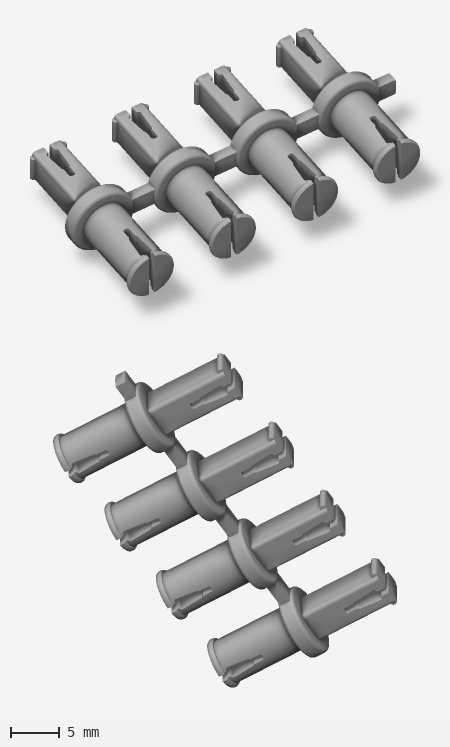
import cadquery as cq

ROW_LENGTH = 39.53
PIN_COUNT = 4
PIN_PITCH = 10.0
PIN_LENGTH = 20.0

COLLAR_DIAMETER = 7.5
COLLAR_WIDTH = 1.78
COLLAR_ROUNDING = 0.35

SHAFT_WIDTH = 3.6
SHAFT_HEIGHT = 3.7
SHAFT_ROUNDING = 0.4
CATCH_LENGTH = 0.67
CATCH_SHOULDER = 0.08
CATCH_HEIGHT = 0.4

BARREL_DIAMETER = 4.9
LIP_DIAMETER = 5.55
LIP_SHOULDER = 0.2
LIP_WIDTH = 0.67

SLOT_DEPTH = 5.05
SLOT_WIDTH = 0.7
SLOT_BELLY_WIDTH = 1.42
SLOT_NECK_WIDTH = 1.0
MOUTH_END = 0.85
BELLY_START = 1.05
BELLY_END = 1.3
TAPER_END = 3.65
NECK_END = 3.8
SLOT_END_ROUNDING = 0.25

RUNNER_WIDTH = 1.2
RUNNER_HEIGHT = 2.05
RUNNER_END_BOW = 0.08

HALF_LENGTH = PIN_LENGTH / 2
FIRST_PIN_Y = -ROW_LENGTH / 2 + COLLAR_DIAMETER / 2


def make_collar():
    """Round flange between the two halves, with rounded rims."""
    collar = cq.Workplane("YZ").circle(COLLAR_DIAMETER / 2).extrude(COLLAR_WIDTH / 2, both=True)
    return collar.edges("%CIRCLE").fillet(COLLAR_ROUNDING)


def make_shaft():
    """Nearly square half on the -X side, with rounded long edges and a catch on each flank."""
    shaft = cq.Workplane("YZ").rect(SHAFT_WIDTH, SHAFT_HEIGHT).extrude(-HALF_LENGTH)
    shaft = shaft.edges("|X").fillet(SHAFT_ROUNDING)

    flat_height = SHAFT_HEIGHT - 2 * SHAFT_ROUNDING
    shoulder = SHAFT_WIDTH / 2 + CATCH_SHOULDER
    crest = SHAFT_WIDTH / 2 + CATCH_HEIGHT
    catch_middle = -HALF_LENGTH + CATCH_LENGTH / 2
    catch_end = -HALF_LENGTH + CATCH_LENGTH
    catches = (
        cq.Workplane("XY")
        .moveTo(-HALF_LENGTH, -shoulder)
        .threePointArc((catch_middle, -crest), (catch_end, -shoulder))
        .lineTo(catch_end, shoulder)
        .threePointArc((catch_middle, crest), (-HALF_LENGTH, shoulder))
        .close()
        .extrude(flat_height / 2, both=True)
    )
    return shaft.union(catches)


def make_barrel():
    """Round half on the +X side, ending in a rounded lip."""
    barrel_radius = BARREL_DIAMETER / 2
    shoulder = barrel_radius + LIP_SHOULDER
    lip_start = HALF_LENGTH - LIP_WIDTH
    return (
        cq.Workplane("XY")
        .lineTo(0, barrel_radius)
        .lineTo(lip_start, barrel_radius)
        .lineTo(lip_start, shoulder)
        .threePointArc((HALF_LENGTH - LIP_WIDTH / 2, LIP_DIAMETER / 2), (HALF_LENGTH, shoulder))
        .lineTo(HALF_LENGTH, 0)
        .close()
        .revolve(360, (0, 0), (1, 0))
    )


def make_slot():
    """Cutter for the bottle-shaped slot that splits the +X tip through its full height."""
    half_width = SLOT_WIDTH / 2
    half_belly = SLOT_BELLY_WIDTH / 2
    half_neck = SLOT_NECK_WIDTH / 2
    outline = [
        (HALF_LENGTH, half_width),
        (HALF_LENGTH - MOUTH_END, half_width),
        (HALF_LENGTH - BELLY_START, half_belly),
        (HALF_LENGTH - BELLY_END, half_belly),
        (HALF_LENGTH - TAPER_END, half_neck),
        (HALF_LENGTH - NECK_END, half_width),
        (HALF_LENGTH - SLOT_DEPTH, half_width),
    ]
    mirrored = [(x, -y) for x, y in reversed(outline)]
    slot = cq.Workplane("XY").polyline(outline + mirrored).close().extrude(COLLAR_DIAMETER / 2, both=True)
    return slot.edges("|Z and <X").fillet(SLOT_END_ROUNDING)


def make_pin():
    """One complete connector centred on the origin."""
    slot = make_slot()
    pin = make_collar().union(make_shaft()).union(make_barrel())
    return pin.cut(slot).cut(slot.mirror("YZ"))


def make_runner():
    """Bar joining the collars and running on to a slightly bowed +Y end."""
    end_y = ROW_LENGTH / 2
    half_height = RUNNER_HEIGHT / 2
    return (
        cq.Workplane("YZ")
        .moveTo(FIRST_PIN_Y, -half_height)
        .lineTo(end_y - RUNNER_END_BOW, -half_height)
        .threePointArc((end_y, 0), (end_y - RUNNER_END_BOW, half_height))
        .lineTo(FIRST_PIN_Y, half_height)
        .close()
        .extrude(RUNNER_WIDTH / 2, both=True)
    )


result = make_runner()
pin = make_pin()
for index in range(PIN_COUNT):
    result = result.union(pin.translate((0, FIRST_PIN_Y + index * PIN_PITCH, 0)))